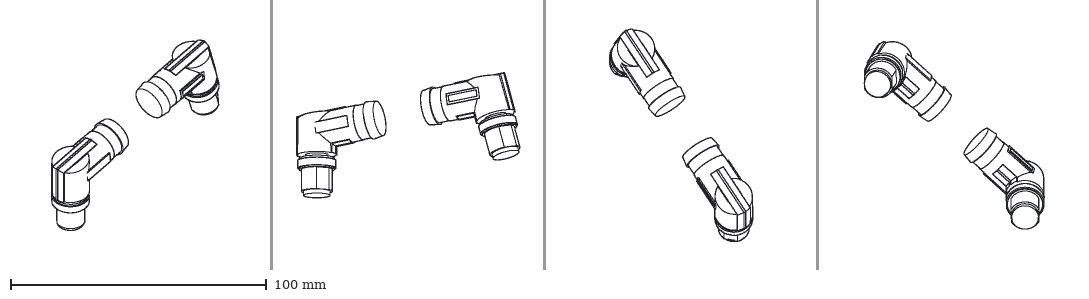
import cadquery as cq
import math


outer_diameter = 15.0

post_drop = 9.2
post_bottom_radius = outer_diameter / 2
post_top_radius = 7.2
post_height = 16.6

arm_tilt = 7.9
arm_radius = 7.0
arm_length = 26.4
collar_length = 4.0
collar_root_radius = outer_diameter / 2
collar_end_radius = 6.9
groove_radius = 6.8
groove_width = 4.4
top_flat_height = 6.3

rib_width = 5.9
arm_rib_radius = 7.3
post_rib_radius = 7.9
top_rib_end = 13.1
bottom_rib_end = 13.8
ridge_width = 0.8
ridge_height = 0.2

pad_start = 1.9
pad_end = 15.5
pad_height = 4.4
pad_reach = 7.2
label_margin = 0.9
label_height = 0.2
pad_end_slope = 0.6
pad_end_depth = 0.05

neck_radius = 4.4
neck_length = 1.4
ring_shoulder_radius = 6.9
upper_shoulder_length = 0.8
ring_radius = 7.5
ring_length = 3.0
lower_shoulder_length = 0.55
sleeve_radius = 6.1
sleeve_length = 8.7
sleeve_flat_distance = 5.4
tip_radius = 5.3
tip_length = 1.7
ring_flat_widths = {45: 3.3, 225: 2.6}

tool_reach = 55.3

far_turn = 180.0
far_tilt = 15.5
far_offset = (0, 71.9, 10.1)


def along_arm(shape):
    """Turn a shape drawn along +Y up to the arm direction."""
    return shape.rotate((0, 0, 0), (1, 0, 0), arm_tilt)


def disc_along_y(radius, start, end):
    return cq.Workplane("XZ").workplane(offset=-start).circle(radius).extrude(start - end)


def disc_along_z(radius, top, length):
    return cq.Workplane("XY").workplane(offset=top - length).circle(radius).extrude(length)


def block(x_range, y_range, z_range):
    size = [high - low for low, high in (x_range, y_range, z_range)]
    corner = (x_range[0], y_range[0], z_range[0])
    return cq.Workplane("XY").box(*size, centered=False).translate(corner)


def make_arm():
    collar_start = arm_length - collar_length
    groove_start = collar_start - groove_width
    profile = [
        (0, 0), (arm_radius, 0), (arm_radius, groove_start), (groove_radius, groove_start),
        (groove_radius, collar_start), (collar_root_radius, collar_start),
        (collar_end_radius, arm_length), (0, arm_length),
    ]
    return cq.Workplane("XY").polyline(profile).close().revolve(360, (0, 0, 0), (0, 1, 0))


def make_arm_rib(width, rise):
    """Strip on top of and below the arm, ending level with the post rib at the back."""
    radius = arm_rib_radius + rise
    back_radius = post_rib_radius + rise
    strip = (-width / 2, width / 2)
    upper = block(strip, (-tool_reach, top_rib_end), (0, radius))
    lower = block(strip, (0, bottom_rib_end), (-radius, 0))
    rib = along_arm(upper.union(lower).intersect(disc_along_y(radius, -tool_reach, bottom_rib_end)))
    back_space = block(strip, (-2 * tool_reach, 0), (-tool_reach, tool_reach))
    back_space = back_space.cut(disc_along_z(back_radius, tool_reach, 2 * tool_reach))
    return rib.cut(back_space)


def make_pads():
    half = pad_height / 2
    pad_profile = [
        (0, pad_start), (pad_reach - pad_end_depth, pad_start), (pad_reach, pad_start + pad_end_slope),
        (pad_reach, pad_end - pad_end_slope), (pad_reach - pad_end_depth, pad_end), (0, pad_end),
    ]
    sloped = cq.Workplane("XY").workplane(offset=-half).polyline(pad_profile).close().extrude(pad_height)
    plain = block((-pad_reach, 0), (pad_start, pad_end), (-half, half))
    label = block(
        (-pad_reach - label_height, 0),
        (pad_start + label_margin, pad_end - label_margin),
        (-half + label_margin, half - label_margin),
    )
    return sloped.union(plain).union(label)


def make_post():
    return (
        cq.Workplane("XY").workplane(offset=-post_drop).circle(post_bottom_radius)
        .workplane(offset=post_height + post_drop).circle(post_top_radius).loft(ruled=True)
    )


def make_post_rib(width, rise):
    """Strip up the front and back of the post, below the level of the elbow."""
    radius = post_rib_radius + rise
    slab = block((-width / 2, width / 2), (-radius, radius), (-post_drop, 0))
    return slab.intersect(disc_along_z(radius, 0, post_drop))


def make_housing():
    across = (-tool_reach, tool_reach)
    above_flat = block(across, across, (top_flat_height, tool_reach))
    housing = make_post().cut(along_arm(above_flat))
    for width, rise in ((rib_width, 0), (ridge_width, ridge_height)):
        housing = housing.union(make_post_rib(width, rise)).union(make_arm_rib(width, rise))
    return housing.union(along_arm(make_arm().union(make_pads())))


def side_flat(disc, distance, direction):
    """Cut a flat on a disc at a distance from the Z axis, facing a direction in degrees."""
    across = (-tool_reach, tool_reach)
    beyond = block((distance, tool_reach), across, across)
    return disc.cut(beyond.rotate((0, 0, 0), (0, 0, 1), direction))


def make_ring(top):
    ring = disc_along_z(ring_radius, top, ring_length)
    for direction, width in ring_flat_widths.items():
        distance = math.sqrt(ring_radius**2 - (width / 2) ** 2)
        ring = side_flat(ring, distance, direction)
    return ring


def make_sleeve(top):
    sleeve = disc_along_z(sleeve_radius, top, sleeve_length)
    for direction in ring_flat_widths:
        sleeve = side_flat(sleeve, sleeve_flat_distance, direction)
    return sleeve


def make_plug():
    upper_shoulder_top = -post_drop - neck_length
    ring_top = upper_shoulder_top - upper_shoulder_length
    lower_shoulder_top = ring_top - ring_length
    sleeve_top = lower_shoulder_top - lower_shoulder_length
    tip_top = sleeve_top - sleeve_length
    return (
        disc_along_z(neck_radius, -post_drop, neck_length)
        .union(disc_along_z(ring_shoulder_radius, upper_shoulder_top, upper_shoulder_length))
        .union(make_ring(ring_top))
        .union(disc_along_z(ring_shoulder_radius, lower_shoulder_top, lower_shoulder_length))
        .union(make_sleeve(sleeve_top))
        .union(disc_along_z(tip_radius, tip_top, tip_length))
    )


def make_body():
    return make_housing().union(make_plug())


near = make_body()
far = (
    make_body().rotate((0, 0, 0), (0, 0, 1), far_turn)
    .rotate((0, 0, 0), (1, 0, 0), far_tilt).translate(far_offset)
)
result = cq.Compound.makeCompound([near.val(), far.val()])